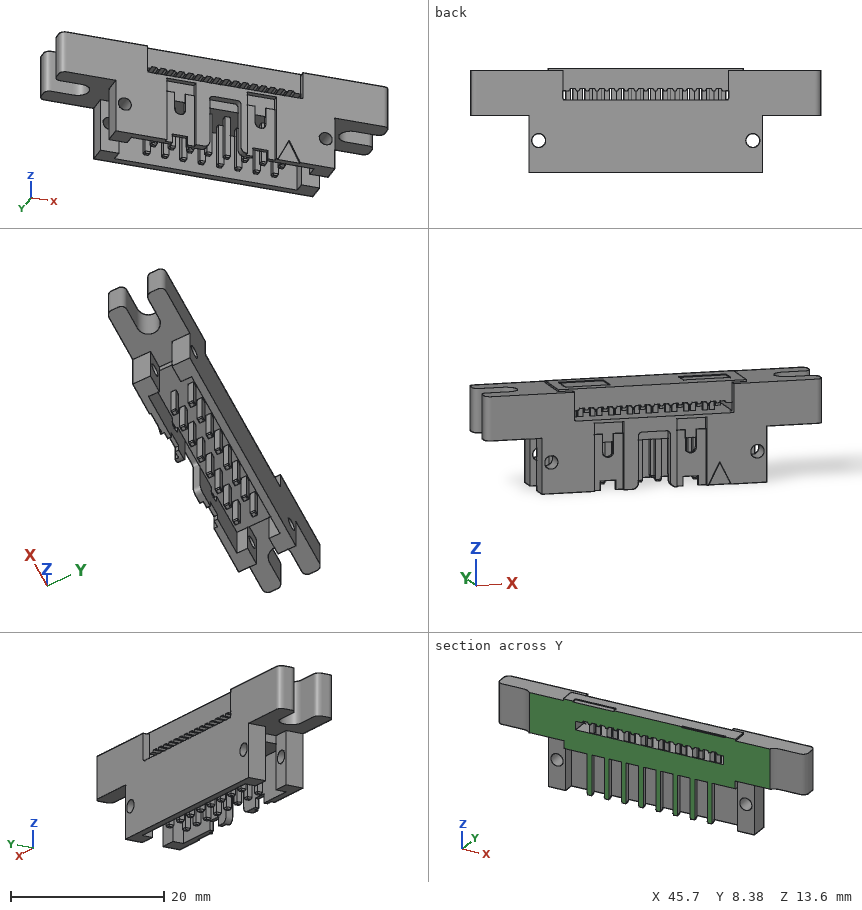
import cadquery as cq

overall_length = 45.69
body_width = 8.38
overall_height = 13.59
body_top = 13.35
foot_length = 30.48
ear_bottom = 7.45
ear_corner_radius = 0.8
pin_pitch = 2.54
pins_per_row = 8

slot_width = 3.15
slot_end_x = 17.42
cross_hole_diameter = 1.78
cross_hole_x = 13.97
cross_hole_z = 4.18

plate_length = 25.5
plate_width = 6.4
label_depth = 0.13
label_recesses = [(-8.31, 6.02, 3.47), (7.99, 6.38, 2.37)]

opening_length = 21.6
opening_floor = 9.5
opening_ceiling = 10.68
opening_corner = 0.25
undercut_length = 21.8
wire_pitch = pin_pitch / 2
channel_top = 10.95
channel_top_width = 0.6
channel_base_width = 1.0

cavity_length = 25.4
cavity_width = 6.3
cavity_top = 6.33
front_wall = (body_width - cavity_width) / 2

pin_size = 0.76
pin_bottom = 0.4
pin_tip_height = 0.25
pin_tip_inset = 0.12
contact_width = 1.56
contact_slit = 0.24
contact_thickness = 0.3

key_width = 4.32
key_top = 7.57
key_corner_radius = 0.5
key_flare_radius = 0.85

latch_centers = [-6.12, 5.08]
latch_width = 4.06
latch_top = 9.08
latch_depth = 0.5
latch_deep_depth = 0.75
latch_step_z = 7.45
window_width = 1.5
window_bottom = 4.35
notch_width = 2.1
notch_height = 1.25

marker_x = 8.88
marker_width = 3.05
marker_height = 3.0
marker_depth = 0.2

front_y = -body_width / 2
pin_xs = [(i - (pins_per_row - 1) / 2) * pin_pitch for i in range(pins_per_row)]


def block(x_center, length, y_start, y_end, z_start, z_end):
    """Axis-aligned block centred on x_center."""
    size = (length, y_end - y_start, z_end - z_start)
    corner = cq.Vector(x_center - length / 2, y_start, z_start)
    return cq.Workplane(cq.Solid.makeBox(*size, corner))


def front_block(x_center, length, depth, z_start, z_end):
    """Block reaching from the front face into the part by depth."""
    return block(x_center, length, front_y, front_y + depth, z_start, z_end)


def from_front(y=front_y):
    """Sketch plane with X to the right and Z up; negative extrusion runs toward +Y."""
    return cq.Workplane("XZ", origin=(0, y, 0))


def make_body():
    ear_height = body_top - ear_bottom
    bar = (
        cq.Workplane("XY", origin=(0, 0, ear_bottom))
        .rect(overall_length, body_width)
        .extrude(ear_height)
    )
    slot_length = overall_length / 2 - slot_end_x + slot_width
    slot_center = slot_end_x + slot_length / 2
    slots = (
        cq.Workplane("XY", origin=(0, 0, ear_bottom))
        .pushPoints([(-slot_center, 0), (slot_center, 0)])
        .slot2D(slot_length, slot_width)
        .extrude(ear_height)
    )
    bar = bar.cut(slots)
    bar = bar.edges("|Z and (<X or >X)").fillet(ear_corner_radius)
    foot = block(0, foot_length, front_y, -front_y, 0, ear_bottom)
    foot_holes = (
        from_front()
        .pushPoints([(-cross_hole_x, cross_hole_z), (cross_hole_x, cross_hole_z)])
        .circle(cross_hole_diameter / 2)
        .extrude(-body_width)
    )
    return bar.union(foot).cut(foot_holes)


def make_plate():
    plate = block(0, plate_length, -plate_width / 2, plate_width / 2, body_top, overall_height)
    for x, length, width in label_recesses:
        recess_floor = overall_height - label_depth
        plate = plate.cut(block(x, length, -width / 2, width / 2, recess_floor, overall_height))
    return plate


def make_wire_opening():
    """Through opening with sloped-sided wire channels, plus the steps beside the cover."""
    opening = block(0, opening_length, front_y, -front_y, opening_floor, body_top)
    opening = opening.edges("|Y and <Z").fillet(opening_corner)
    undercut = block(
        0, undercut_length, -plate_width / 2, plate_width / 2, opening_floor, opening_ceiling
    )
    cover = block(0, opening_length, -plate_width / 2, plate_width / 2, opening_ceiling, body_top)
    half_top = channel_top_width / 2
    half_base = channel_base_width / 2
    channel = (
        from_front(-plate_width / 2)
        .moveTo(-half_base, opening_ceiling)
        .lineTo(-half_top, channel_top)
        .lineTo(half_top, channel_top)
        .lineTo(half_base, opening_ceiling)
        .close()
        .extrude(-plate_width)
    )
    for x in pin_xs:
        for side in (-1, 1):
            cover = cover.cut(channel.translate((x + side * wire_pitch / 2, 0, 0)))
    return opening.union(undercut).cut(cover)


def make_cavity():
    """Mating cavity, with a narrower and taller slot leading out through each end of the foot."""
    cavity = block(0, cavity_length, -cavity_width / 2, cavity_width / 2, 0, cavity_top)
    end_length = (foot_length - cavity_length) / 2
    end_x = (foot_length + cavity_length) / 4
    for x in (-end_x, end_x):
        cavity = cavity.union(block(x, end_length, -slot_width / 2, slot_width / 2, 0, ear_bottom))
    return cavity


def make_keyway():
    half = key_width / 2
    outer = half + key_flare_radius
    return (
        from_front()
        .moveTo(-outer, 0)
        .radiusArc((-half, key_flare_radius), -key_flare_radius)
        .lineTo(-half, key_top - key_corner_radius)
        .radiusArc((-half + key_corner_radius, key_top), key_corner_radius)
        .lineTo(half - key_corner_radius, key_top)
        .radiusArc((half, key_top - key_corner_radius), key_corner_radius)
        .lineTo(half, key_flare_radius)
        .radiusArc((outer, 0), -key_flare_radius)
        .close()
        .extrude(-front_wall)
    )


def window(x_center, depth, top):
    """Round-bottomed window cut from the front face."""
    radius = window_width / 2
    arc_z = window_bottom + radius
    bottom = from_front().center(x_center, arc_z).circle(radius).extrude(-depth)
    return bottom.union(front_block(x_center, window_width, depth, arc_z, top))


def make_latch(x_center):
    """Recess with a deeper top, a window into the cavity and a notch at the base."""
    recess = front_block(x_center, latch_width, latch_depth, 0, latch_top)
    deep_top = front_block(x_center, latch_width, latch_deep_depth, latch_step_z, latch_top)
    stem = window(x_center, latch_deep_depth, latch_step_z)
    opening = window(x_center, front_wall, cavity_top)
    notch = front_block(x_center, notch_width, front_wall, 0, notch_height)
    return recess.union(deep_top).union(stem).union(opening).union(notch)


def make_marker():
    half = marker_width / 2
    return (
        from_front()
        .polyline([(marker_x - half, 0), (marker_x, marker_height), (marker_x + half, 0)])
        .close()
        .extrude(-marker_depth)
    )


def make_pin(x, y):
    """Square pin with a tapered tip, hanging from the cavity ceiling."""
    tip_top = pin_bottom + pin_tip_height
    tip_size = pin_size - 2 * pin_tip_inset
    shank = block(x, pin_size, y - pin_size / 2, y + pin_size / 2, tip_top, cavity_top)
    tip = (
        cq.Workplane("XY", origin=(x, y, pin_bottom))
        .rect(tip_size, tip_size)
        .workplane(offset=pin_tip_height)
        .rect(pin_size, pin_size)
        .loft(ruled=True)
    )
    return shank.union(tip)


def make_contact(x_center, y):
    """Forked contact standing on the opening floor, its slit open for one wire."""
    y_start = y - contact_thickness / 2
    y_end = y + contact_thickness / 2
    blade = block(x_center, contact_width, y_start, y_end, opening_floor, channel_top)
    return blade.cut(block(x_center, contact_slit, y_start, y_end, opening_floor, channel_top))


result = make_body()
result = result.cut(make_wire_opening()).cut(make_cavity()).cut(make_keyway())
for latch_x in latch_centers:
    result = result.cut(make_latch(latch_x))
result = result.cut(make_marker()).union(make_plate())

for pin_x in pin_xs:
    for row in (-1, 1):
        row_y = row * pin_pitch / 2
        result = result.union(make_pin(pin_x, row_y))
        result = result.union(make_contact(pin_x + row * contact_width / 2, row_y))